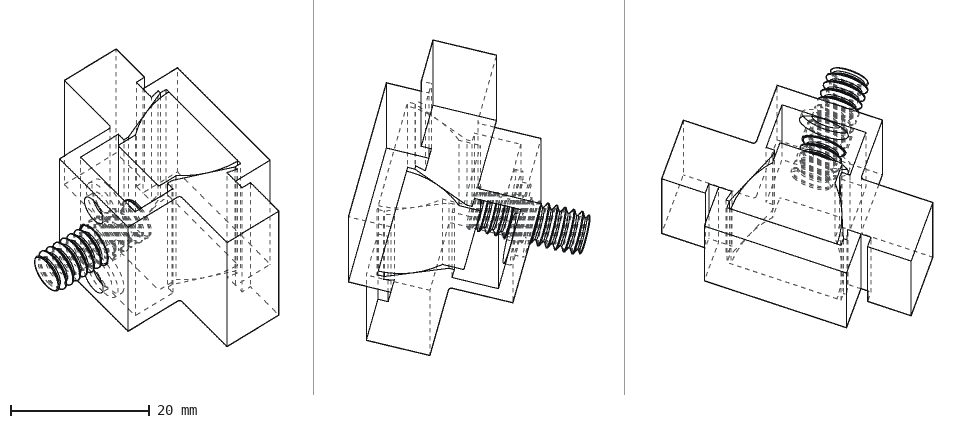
import cadquery as cq
import math

LENGTH_Z = 23.9
TOTAL_DEPTH = 32.45

WING_HALF_WIDTH = 19.05
WING_BACK_Y = 9.5
SHELF_Y = 7.95
RECESS_HALF_WIDTH = 12.4
CHANNEL_FRONT_Y = -9.5
CHANNEL_HALF_WIDTH = 8.05
CHANNEL_SIDE_WALL = 1.65
CHANNEL_FRONT_WALL = 2.6
CHANNEL_FILLET = 0.45
MOUTH_HALF_WIDTH = 5.1
MOUTH_LIP = 0.8
RAMP_ANGLE = math.radians(22.5)
SCREW_HOLE_DIAMETER = 6.7
SIDE_HOLE_DIAMETER = 4.4
SIDE_HOLE_OFFSET = LENGTH_Z / 3
SIDE_HOLE_DEPTH = 1.52
COUNTERBORE_DIAMETER = 7.45

HOOK_TOP_HALF_WIDTH = 9.22
HOOK_BASE_HALF_WIDTH = 8.85

CAP_HALF_WIDTH = 10.85
CAP_BACK_Y = 14.3
CAP_POCKET_Y = 10.55

WEDGE_FRONT_Y = -1.35
WEDGE_NOSE_HALF_WIDTH = 4.75
WEDGE_CONTACT_Y = 5.6
WEDGE_CROWN_RADIUS = 13.35
WEDGE_CORNER_RADIUS = 0.2

SCREW_RADIUS = 3.15
ROOT_RADIUS = 2.45
THREAD_PITCH = 3.8 / 3
CREST_WIDTH = THREAD_PITCH / 8
FLANK_ANGLE = math.radians(30)
FIRST_CREST_Y = -1.75
THREAD_COUNT = 13
SCREW_END_CHAMFER = 0.42
SCREW_BACK_BEVEL_LENGTH = 0.3
SCREW_BACK_BEVEL_DEPTH = 0.15
SCREW_END_Y = CAP_BACK_Y - TOTAL_DEPTH


def ramp_half_width(y):
    """Half width of the tapered opening in the housing at depth y."""
    return MOUTH_HALF_WIDTH + (y - MOUTH_LIP) * math.tan(RAMP_ANGLE)


POCKET_HALF_WIDTH = ramp_half_width(WING_BACK_Y)


def mirrored(points):
    """The same points on the -X side, in reverse order."""
    return [(-x, y) for x, y in reversed(points)]


def extrude_outline(outline):
    """Close a sketch outline and extrude it over the full Z length."""
    return outline.close().extrude(LENGTH_Z / 2, both=True)


def front_wall_hole(diameter, z, start_depth=0):
    """Cutter along Y from a depth below the front face to the inside of the channel."""
    start = cq.Workplane("XZ", origin=(0, CHANNEL_FRONT_Y + start_depth, z))
    return start.circle(diameter / 2).extrude(start_depth - CHANNEL_FRONT_WALL)


def make_housing():
    inner_half_width = CHANNEL_HALF_WIDTH - CHANNEL_SIDE_WALL
    inner_front_y = CHANNEL_FRONT_Y + CHANNEL_FRONT_WALL
    half_outline = [
        (CHANNEL_HALF_WIDTH, CHANNEL_FRONT_Y),
        (CHANNEL_HALF_WIDTH, 0),
        (WING_HALF_WIDTH, 0),
        (WING_HALF_WIDTH, WING_BACK_Y),
        (RECESS_HALF_WIDTH, WING_BACK_Y),
        (RECESS_HALF_WIDTH, SHELF_Y),
        (HOOK_BASE_HALF_WIDTH, SHELF_Y),
        (HOOK_TOP_HALF_WIDTH, WING_BACK_Y),
        (POCKET_HALF_WIDTH, WING_BACK_Y),
        (MOUTH_HALF_WIDTH, MOUTH_LIP),
        (MOUTH_HALF_WIDTH, 0),
        (inner_half_width, 0),
        (inner_half_width, inner_front_y),
    ]
    body = extrude_outline(cq.Workplane("XY").polyline(half_outline + mirrored(half_outline)))
    for side in (-1, 1):
        corner = cq.selectors.NearestToPointSelector((side * CHANNEL_HALF_WIDTH, 0, 0))
        body = body.edges(corner).fillet(CHANNEL_FILLET)
    body = body.cut(front_wall_hole(SCREW_HOLE_DIAMETER, 0))
    for z in (-SIDE_HOLE_OFFSET, SIDE_HOLE_OFFSET):
        body = body.cut(front_wall_hole(SIDE_HOLE_DIAMETER, z))
        body = body.cut(front_wall_hole(COUNTERBORE_DIAMETER, z, SIDE_HOLE_DEPTH))
    return body


def make_cap():
    half_outline = [
        (CAP_HALF_WIDTH, CAP_BACK_Y),
        (CAP_HALF_WIDTH, SHELF_Y),
        (HOOK_BASE_HALF_WIDTH, SHELF_Y),
        (HOOK_TOP_HALF_WIDTH, WING_BACK_Y),
        (POCKET_HALF_WIDTH, WING_BACK_Y),
        (POCKET_HALF_WIDTH, CAP_POCKET_Y),
    ]
    return extrude_outline(cq.Workplane("XY").polyline(half_outline + mirrored(half_outline)))


def make_wedge():
    contact = (ramp_half_width(WEDGE_CONTACT_Y), WEDGE_CONTACT_Y)
    centre_x = contact[0] - WEDGE_CROWN_RADIUS * math.cos(RAMP_ANGLE)
    centre_y = contact[1] + WEDGE_CROWN_RADIUS * math.sin(RAMP_ANGLE)
    shoulder_y = centre_y - math.sqrt(WEDGE_CROWN_RADIUS**2 - (WEDGE_NOSE_HALF_WIDTH - centre_x) ** 2)
    back_half_width = centre_x + math.sqrt(WEDGE_CROWN_RADIUS**2 - (CAP_POCKET_Y - centre_y) ** 2)

    outline = (
        cq.Workplane("XY")
        .moveTo(-WEDGE_NOSE_HALF_WIDTH, WEDGE_FRONT_Y)
        .lineTo(WEDGE_NOSE_HALF_WIDTH, WEDGE_FRONT_Y)
        .lineTo(WEDGE_NOSE_HALF_WIDTH, shoulder_y)
        .threePointArc(contact, (back_half_width, CAP_POCKET_Y))
        .lineTo(-back_half_width, CAP_POCKET_Y)
        .threePointArc((-contact[0], contact[1]), (-WEDGE_NOSE_HALF_WIDTH, shoulder_y))
    )
    body = extrude_outline(outline)
    corners = body.faces("<Y or >Y").edges("|Z")
    return corners.fillet(WEDGE_CORNER_RADIUS)


def revolve_about_y(section):
    """Turn a closed section of (y, radius) points into a solid of revolution about Y."""
    return cq.Workplane("YZ").polyline(section).close().revolve(360, (0, 0), (1, 0))


def thread_groove(middle_y):
    """Ring cutter with the trapezoidal section of one thread groove."""
    crest_half_gap = (THREAD_PITCH - CREST_WIDTH) / 2
    root_half_gap = crest_half_gap - (SCREW_RADIUS - ROOT_RADIUS) * math.tan(FLANK_ANGLE)
    return revolve_about_y([
        (middle_y + crest_half_gap, SCREW_RADIUS),
        (middle_y + root_half_gap, ROOT_RADIUS),
        (middle_y - root_half_gap, ROOT_RADIUS),
        (middle_y - crest_half_gap, SCREW_RADIUS),
    ])


def make_screw():
    """Screw whose back end rests flat on the wedge; the thread is a row of ring grooves."""
    rod = revolve_about_y([
        (WEDGE_FRONT_Y, 0),
        (WEDGE_FRONT_Y, SCREW_RADIUS - SCREW_BACK_BEVEL_DEPTH),
        (WEDGE_FRONT_Y - SCREW_BACK_BEVEL_LENGTH, SCREW_RADIUS),
        (SCREW_END_Y + SCREW_END_CHAMFER, SCREW_RADIUS),
        (SCREW_END_Y, SCREW_RADIUS - SCREW_END_CHAMFER),
        (SCREW_END_Y, 0),
    ])
    for index in range(THREAD_COUNT):
        rod = rod.cut(thread_groove(FIRST_CREST_Y - (index + 0.5) * THREAD_PITCH))
    return rod


housing = make_housing()
cap = make_cap()
wedge = make_wedge()
screw = make_screw()

result = cq.Compound.makeCompound([housing.val(), cap.val(), wedge.val(), screw.val()])